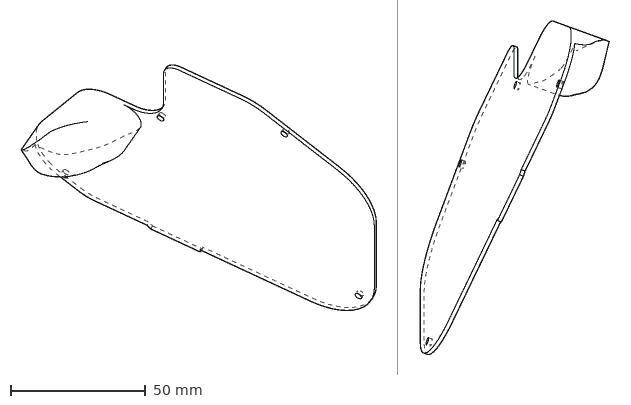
import cadquery as cq
import math

LENGTH = 145.3
HEIGHT = 110.5
PLATE_THICKNESS = 1.6
BASE_Z = 1.3
STEP_X = 55.2
STEP_Z = 71.8
SLOPE_ANGLE = 25.0
WALL_ANGLE = 62.4
TOP_SLOPE_X = 93.5
BASE_SLOPE_X = 22.2
WALL_BASE_Z = 29.6

BASE_LEFT_RADIUS = 16.0
RIGHT_RADIUS = 27.3
TOP_SLOPE_RADIUS = 23.3
TOP_LEFT_RADIUS = 6.7
STEP_INNER_RADIUS = 13.1
WALL_TOP_RADIUS = 16.0
WALL_BASE_RADIUS = 18.9
LOWER_LEFT_RADIUS = 17.5

TAB_START_X = 48.1
TAB_END_X = 70.9
TAB_BEVEL = 1.6

HOLE_DIAMETER = 2.8
HOLE_CENTERS = [(106.8, 100.7), (53.9, 74.0), (138.5, 18.9), (12.8, 8.7)]

PAD_HEIGHT = 21.0
PAD_EDGE_RADIUS = 6.7
PAD_MARGIN = 11.6
PAD_TOP_END_X = 38.4
PAD_NOSE_END = (44.9, 61.0)
PAD_NOSE_DIRECTION = (-0.46, -0.89)
PAD_FLANK = [(38.8, 52.3), (30.0, 39.7), (17.9, 26.6)]
PAD_FLANK_END_X = 4.4
PAD_BASE_Z = 19.5
CLEARANCE = 1.5
CROWN_ANGLE = 32.0
CROWN_POINTS = [(5.8, 0.5), (11.6, 7.3), (19.8, 15.0), (29.0, 18.3), (51.6, PAD_HEIGHT), (78.5, 19.5)]
CROWN_REACH = 87.2


def front_plane():
    """Sketch plane at the plate's back, with outward extrusion along -Y."""
    return cq.Workplane("XZ")


def rounded_outline(corners):
    """Closed wire through (x, z, radius) corners, each rounded by a tangent arc."""
    path = None
    for index, (x, z, radius) in enumerate(corners):
        before = corners[index - 1]
        after = corners[(index + 1) % len(corners)]
        corner = cq.Vector(x, z)
        to_before = (cq.Vector(before[0], before[1]) - corner).normalized()
        to_after = (cq.Vector(after[0], after[1]) - corner).normalized()
        half_angle = to_before.getAngle(to_after) / 2
        setback = radius / math.tan(half_angle)
        start = corner + to_before * setback
        end = corner + to_after * setback
        bisector = (to_before + to_after).normalized()
        middle = corner + bisector * (radius / math.sin(half_angle) - radius)
        if path is None:
            path = front_plane().moveTo(start.x, start.y)
        else:
            path = path.lineTo(start.x, start.y)
        path = path.threePointArc((middle.x, middle.y), (end.x, end.y))
    return path.close()


def plate_outline():
    slope = math.tan(math.radians(SLOPE_ANGLE))
    wall_run = (STEP_Z - WALL_BASE_Z) / math.tan(math.radians(WALL_ANGLE))
    return rounded_outline([
        (BASE_SLOPE_X, BASE_Z, BASE_LEFT_RADIUS),
        (LENGTH, BASE_Z, RIGHT_RADIUS),
        (LENGTH, HEIGHT - (LENGTH - TOP_SLOPE_X) * slope, RIGHT_RADIUS),
        (TOP_SLOPE_X, HEIGHT, TOP_SLOPE_RADIUS),
        (STEP_X, HEIGHT, TOP_LEFT_RADIUS),
        (STEP_X, STEP_Z, STEP_INNER_RADIUS),
        (wall_run, STEP_Z, WALL_TOP_RADIUS),
        (0, WALL_BASE_Z, WALL_BASE_RADIUS),
        (0, BASE_Z + BASE_SLOPE_X * slope, LOWER_LEFT_RADIUS),
    ])


def tab():
    return (
        front_plane()
        .moveTo(TAB_START_X, BASE_Z)
        .lineTo(TAB_START_X + TAB_BEVEL, 0)
        .lineTo(TAB_END_X, 0)
        .lineTo(TAB_END_X, BASE_Z)
        .close()
        .extrude(PLATE_THICKNESS)
    )


def pad_footprint():
    """Teardrop footprint, overrunning the plate edge on the left."""
    return (
        front_plane()
        .moveTo(-PAD_MARGIN, STEP_Z)
        .lineTo(PAD_TOP_END_X, STEP_Z)
        .tangentArcPoint(PAD_NOSE_END, relative=False)
        .spline(
            PAD_FLANK + [(PAD_FLANK_END_X, PAD_BASE_Z)],
            tangents=[PAD_NOSE_DIRECTION, (-1, 0)],
            includeCurrent=True,
        )
        .lineTo(-PAD_MARGIN, PAD_BASE_Z)
        .close()
        .extrude(PAD_HEIGHT + CLEARANCE)
    )


def crowned_solid():
    """Solid below the curved pad surface, which is straight across the climb direction."""
    angle = math.radians(CROWN_ANGLE)
    plane = cq.Plane(
        origin=(0, 0, 0),
        xDir=(math.cos(angle), 0, math.sin(angle)),
        normal=(math.sin(angle), 0, -math.cos(angle)),
    )
    return (
        cq.Workplane(plane)
        .moveTo(*CROWN_POINTS[0])
        .spline(CROWN_POINTS[1:], includeCurrent=True)
        .lineTo(CROWN_POINTS[-1][0], 0)
        .lineTo(CROWN_POINTS[0][0], 0)
        .close()
        .extrude(CROWN_REACH, both=True)
    )


def pad():
    block = pad_footprint().intersect(crowned_solid())
    crown = block.faces().filter(lambda face: face.geomType() != "PLANE" and face.normalAt().y < -0.9)
    rim = crown.edges().filter(lambda edge: edge.BoundingBox().xmax > 0)
    rounded = block.newObject(rim.vals()).fillet(PAD_EDGE_RADIUS)
    return rounded.intersect(plate_outline().extrude(PAD_HEIGHT + CLEARANCE))


def screw_holes():
    return front_plane().pushPoints(HOLE_CENTERS).circle(HOLE_DIAMETER / 2).extrude(PLATE_THICKNESS)


plate = plate_outline().extrude(PLATE_THICKNESS).union(tab())
result = plate.cut(screw_holes()).union(pad())